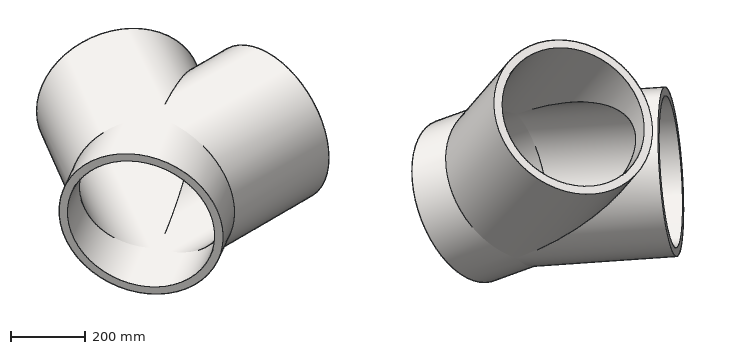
import cadquery as cq
import math

width = 815.0
depth = 655.0
outer_diameter = 457.0
bore_diameter = 410.0
branch_angle = 30.0

outer_radius = outer_diameter / 2
tilt_sin = math.sin(math.radians(branch_angle))
tilt_cos = math.cos(math.radians(branch_angle))

branch_length = (width / 2 - outer_radius * tilt_cos) / tilt_sin
inlet_length = depth - branch_length * tilt_cos - outer_radius * tilt_sin

miter_slope = math.tan(math.radians(branch_angle / 2))
reach = 2 * width
miter_drop = reach * miter_slope


def tube(start, end):
    """Hollow pipe along Y between two distances from the origin."""
    return (
        cq.Workplane("XZ", origin=(0, start, 0))
        .circle(outer_radius)
        .circle(bore_diameter / 2)
        .extrude(start - end)
    )


def sector(points):
    """Tall prism that trims a pipe to its own side of the miter planes."""
    return cq.Workplane("XY").polyline(points).close().extrude(outer_diameter, both=True)


inlet_sector = sector([
    (0, 0),
    (reach, -miter_drop),
    (reach, -reach),
    (-reach, -reach),
    (-reach, -miter_drop),
])
inlet = tube(-inlet_length, outer_diameter).intersect(inlet_sector)

branch_sector = sector([(0, 0), (reach, -miter_drop), (reach, reach), (0, reach)])
right_branch = (
    tube(-outer_diameter, branch_length)
    .rotate((0, 0, 0), (0, 0, 1), -branch_angle)
    .intersect(branch_sector)
)
left_branch = right_branch.mirror("YZ")

result = inlet.union(right_branch).union(left_branch)